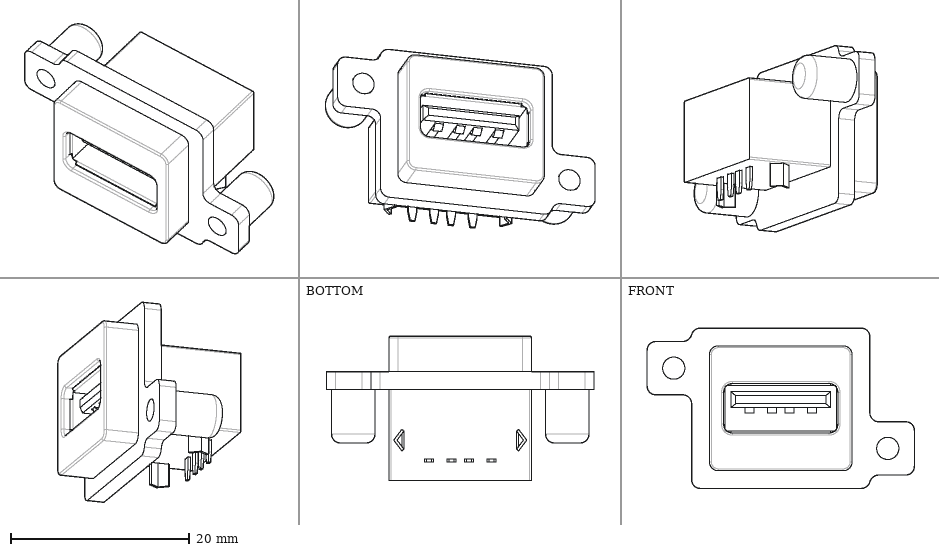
import cadquery as cq
import math


FLANGE_WIDTH = 20.0
TOTAL_WIDTH = 30.0
FLANGE_HEIGHT = 18.0
FLANGE_THICKNESS = 2.0
TAB_HEIGHT = 6.0
TAB_CENTRE_Z = 4.5
CORNER_RADIUS = 1.0
BLOCK_WIDTH = 16.0
BLOCK_HEIGHT = 14.0
BLOCK_DEPTH = 4.0
BOX_HEIGHT = 9.3
TOTAL_DEPTH = 16.2
EDGE_ROUND = 0.2
FLANGE_REAR = BLOCK_DEPTH + FLANGE_THICKNESS

BOSS_DIAMETER = 4.9
BOSS_LENGTH = 6.0
BOSS_ROUND = 1.0
SCREW_HOLE_DIAMETER = 2.5
SCREW_HOLE_DEPTH = 7.0
BOSS_X = (TOTAL_WIDTH - TAB_HEIGHT) / 2

OPENING_WIDTH = 12.8
OPENING_HEIGHT = 5.55
OPENING_ROUND = 0.25

SHEET = 0.3
SHELL_INNER_WIDTH = 12.5
SHELL_INNER_HEIGHT = 5.13
SHELL_WIDTH = SHELL_INNER_WIDTH + 2 * SHEET
SHELL_HEIGHT = SHELL_INNER_HEIGHT + 2 * SHEET
SHELL_FRONT = 1.25
SHELL_REAR = 13.4
LONG_LIP = 11.2
SHORT_LIP = 3.6
LEG_CENTRE_Y = 11.67
LEG_HALF_WIDTH = 1.2
LEG_BULGE = 0.9
PIN_BOTTOM = -7.2

BASE_FRONT = 10.5
BASE_REAR = 15.0
TONGUE_WIDTH = 11.2
TONGUE_HEIGHT = 1.8
TONGUE_BOTTOM = 0.05
TONGUE_FRONT = 1.7
TAPER_LENGTH = 0.48
TAPER_INSET_X = 0.55
TAPER_INSET_Z = 0.45

CONTACT_X = [-3.5, -1.0, 1.0, 3.5]
CONTACT_WIDTH = 1.0
BUMP_FRONT = 2.7
BUMP_LENGTH = 1.75
BUMP_HEIGHT = 0.57
TAIL_REAR = 14.1
TIP_LENGTH = 1.1
TIP_INSET = 0.2


def block(width, height, front, rear):
    """Box centred on the Y axis, from Y = front to Y = rear."""
    return cq.Workplane("XY").box(width, rear - front, height).translate((0, (front + rear) / 2, 0))


def rod(diameter, x, z, front, rear):
    """Cylinder along Y."""
    return cq.Workplane("XZ", origin=(x, front, z)).circle(diameter / 2).extrude(front - rear)


def turned(body, angle):
    """Copy of a body turned about the Y axis."""
    return body.rotate((0, 0, 0), (0, 1, 0), angle)


def make_flange():
    """Plate with a tab at the upper left and one at the lower right."""
    r = CORNER_RADIUS
    side = FLANGE_WIDTH / 2
    top = FLANGE_HEIGHT / 2
    end = TOTAL_WIDTH / 2
    tab_top = TAB_CENTRE_Z + TAB_HEIGHT / 2
    tab_bottom = TAB_CENTRE_Z - TAB_HEIGHT / 2
    outline = cq.Workplane("XZ", origin=(0, BLOCK_DEPTH, 0)).moveTo(side - r, -top)
    for s in (1, -1):
        outline = (
            outline.lineTo(s * (r - side), -s * top)
            .tangentArcPoint((-s * side, s * (r - top)), relative=False)
            .lineTo(-s * side, s * (tab_bottom - r))
            .tangentArcPoint((-s * (side + r), s * tab_bottom), relative=False)
            .lineTo(s * (r - end), s * tab_bottom)
            .tangentArcPoint((-s * end, s * (tab_bottom + r)), relative=False)
            .lineTo(-s * end, s * (tab_top - r))
            .tangentArcPoint((s * (r - end), s * tab_top), relative=False)
            .lineTo(-s * (side + r), s * tab_top)
            .tangentArcPoint((-s * side, s * (tab_top + top) / 2), relative=False)
            .tangentArcPoint((s * (r - side), s * top), relative=False)
        )
    return outline.close().extrude(-FLANGE_THICKNESS)


def make_opening():
    """Cutter for the plug opening, which ends at the front of the shell."""
    return block(OPENING_WIDTH, OPENING_HEIGHT, 0, SHELL_FRONT).edges("|Y").fillet(CORNER_RADIUS)


def make_housing():
    front = block(BLOCK_WIDTH, BLOCK_HEIGHT, 0, BLOCK_DEPTH).edges("|Y").fillet(CORNER_RADIUS)
    front = front.faces("<Y").edges().fillet(EDGE_ROUND)
    front = front.cut(make_opening())
    front = front.faces("<Y").wires(cq.selectors.LengthNthSelector(0)).fillet(OPENING_ROUND)
    rear = block(BLOCK_WIDTH, BOX_HEIGHT, FLANGE_REAR, TOTAL_DEPTH).edges("|Y").fillet(EDGE_ROUND)
    body = make_flange().union(front).union(rear)
    for s in (1, -1):
        place = (-s * BOSS_X, s * TAB_CENTRE_Z)
        boss = rod(BOSS_DIAMETER, *place, FLANGE_REAR, FLANGE_REAR + BOSS_LENGTH)
        body = body.union(boss.faces(">Y").edges().fillet(BOSS_ROUND))
        body = body.cut(rod(SCREW_HOLE_DIAMETER, *place, BLOCK_DEPTH, BLOCK_DEPTH + SCREW_HOLE_DEPTH))
    return body.cut(block(SHELL_WIDTH, SHELL_HEIGHT, SHELL_FRONT, BASE_REAR))


def make_lip(length, wall_inside):
    """Lip in front of the upper shell wall, with its inner edge fully rounded to the sheet thickness."""
    wall_outside = wall_inside + SHEET
    lip = block(length, SHEET, SHELL_FRONT - SHEET, SHELL_FRONT).translate((0, 0, wall_inside + SHEET / 2))
    round_part = (
        cq.Workplane("YZ", origin=(0, SHELL_FRONT, wall_outside)).circle(SHEET).extrude(length / 2, both=True)
    )
    return lip.intersect(round_part)


def make_lips():
    half_height = SHELL_INNER_HEIGHT / 2
    half_width = SHELL_INNER_WIDTH / 2
    long_lip = make_lip(LONG_LIP, half_height)
    short_lip = make_lip(SHORT_LIP, half_width)
    return [long_lip, turned(short_lip, 90), turned(long_lip, 180), turned(short_lip, 270)]


def leg_sweep(inner_points):
    """Upright body of a right-hand leg, from its V-shaped outer face to the given inner points."""
    wall_face = SHELL_WIDTH / 2
    outer_points = [(0, -LEG_HALF_WIDTH), (LEG_BULGE, 0), (0, LEG_HALF_WIDTH)]
    outline = cq.Workplane("XY", origin=(wall_face, LEG_CENTRE_Y, PIN_BOTTOM))
    return outline.polyline(outer_points + inner_points).close().extrude(-PIN_BOTTOM)


def leg_inner_points():
    """Rear end, bend and front end of the inner face, one sheet thickness behind the outer face."""
    side = math.hypot(LEG_BULGE, LEG_HALF_WIDTH)
    end_x = -SHEET * LEG_HALF_WIDTH / side
    end_y = LEG_HALF_WIDTH - SHEET * LEG_BULGE / side
    bend_x = LEG_BULGE - SHEET * side / LEG_HALF_WIDTH
    return [(end_x, end_y), (bend_x, 0), (end_x, -end_y)]


def make_leg():
    """Leg of sheet bent to a V, which hangs from the right side wall."""
    return leg_sweep(leg_inner_points())


def make_leg_seat():
    """Cutter for a leg, filled between the two ends of the V."""
    rear_end, _, front_end = leg_inner_points()
    return leg_sweep([rear_end, front_end])


def make_shell():
    tube = block(SHELL_WIDTH, SHELL_HEIGHT, SHELL_FRONT, SHELL_REAR)
    tube = tube.cut(block(SHELL_INNER_WIDTH, SHELL_INNER_HEIGHT, SHELL_FRONT, SHELL_REAR))
    for lip in make_lips():
        tube = tube.union(lip)
    leg = make_leg()
    return tube.union(leg).union(leg.mirror("YZ"))


def make_tongue():
    """Tongue above the middle of the shell, tapered on all four sides at its front."""
    bar = block(TONGUE_WIDTH, TONGUE_HEIGHT, TONGUE_FRONT + TAPER_LENGTH, BASE_FRONT)
    tip = (
        cq.Workplane("XZ", origin=(0, TONGUE_FRONT + TAPER_LENGTH, 0))
        .rect(TONGUE_WIDTH, TONGUE_HEIGHT)
        .workplane(offset=TAPER_LENGTH)
        .rect(TONGUE_WIDTH - 2 * TAPER_INSET_X, TONGUE_HEIGHT - 2 * TAPER_INSET_Z)
        .loft(ruled=True)
    )
    return bar.union(tip).translate((0, 0, TONGUE_BOTTOM + TONGUE_HEIGHT / 2))


def make_insulator():
    base = block(SHELL_INNER_WIDTH, SHELL_INNER_HEIGHT, BASE_FRONT, BASE_REAR)
    plug = block(SHELL_WIDTH, SHELL_HEIGHT, SHELL_REAR, BASE_REAR)
    return base.union(plug).union(make_tongue())


def make_contact(x):
    """Contact with its strip let into the tongue and its tail narrowed at the tip."""
    tail_front = TAIL_REAR - SHEET
    tail_bottom = PIN_BOTTOM - TONGUE_BOTTOM
    contact = (
        cq.Workplane("YZ", origin=(x, 0, TONGUE_BOTTOM))
        .moveTo(BUMP_FRONT, SHEET)
        .lineTo(BUMP_FRONT, 0)
        .lineTo(BUMP_FRONT + BUMP_LENGTH / 2, -BUMP_HEIGHT)
        .lineTo(BUMP_FRONT + BUMP_LENGTH, 0)
        .lineTo(tail_front, 0)
        .lineTo(tail_front, tail_bottom)
        .lineTo(TAIL_REAR, tail_bottom)
        .lineTo(TAIL_REAR, SHEET)
        .close()
        .extrude(CONTACT_WIDTH / 2, both=True)
    )
    return contact.faces("<Z").edges("|Y").chamfer(TIP_LENGTH, TIP_INSET)


contacts = [make_contact(x) for x in CONTACT_X]
shell = make_shell()
insulator = make_insulator()
housing = make_housing()

housing = housing.cut(shell)
leg_seat = make_leg_seat()
housing = housing.cut(leg_seat).cut(leg_seat.mirror("YZ"))

for contact in contacts:
    insulator = insulator.cut(contact)
    housing = housing.cut(contact)

result = cq.Compound.makeCompound(
    [housing.val(), shell.val(), insulator.val(), *[contact.val() for contact in contacts]]
)